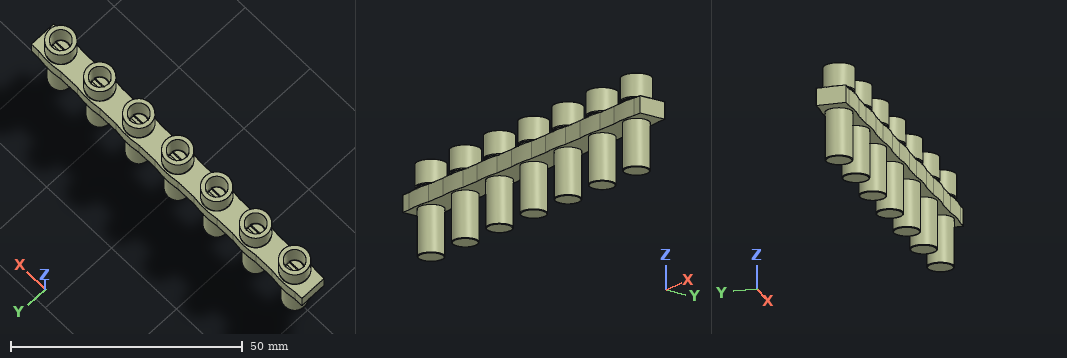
import cadquery as cq
import math

bar_length = 83.4
bar_width = 6.75
bar_thickness = 4.0
sleeve_count = 7
sleeve_pitch = 12.0

bulged_width = 7.3
bulge_chord = 7.0

total_height = 21.2
bar_bottom = 11.0
head_bottom = 15.7

stem_diameter = 6.0
head_diameter = 7.0
stem_chamfer = 0.2
head_chamfer = 0.2

mouth_diameter = 4.9
floor_diameter = 4.3
bore_depth = 5.0
bore_taper = math.degrees(math.atan((mouth_diameter - floor_diameter) / 2 / bore_depth))
bore_floor = total_height - bore_depth

screw_chamfer = 0.2
slot_width = 1.0
slot_depth = 0.8

first_sleeve_x = -sleeve_pitch * (sleeve_count - 1) / 2
sleeve_centers = [(first_sleeve_x + i * sleeve_pitch, 0) for i in range(sleeve_count)]


def cylinders(diameter, bottom, top):
    """One upright cylinder on every sleeve axis."""
    return (
        cq.Workplane("XY")
        .workplane(offset=bottom)
        .pushPoints(sleeve_centers)
        .circle(diameter / 2)
        .extrude(top - bottom)
    )


def bulged_bar():
    """Flat bar whose long sides bow outward beside each sleeve."""
    half_length = bar_length / 2
    half_width = bar_width / 2
    outline = cq.Workplane("XY").workplane(offset=bar_bottom).moveTo(-half_length, -half_width)
    for side in (-1, 1):
        for x, _ in sleeve_centers:
            center = -side * x
            start = center + side * bulge_chord / 2
            end = center - side * bulge_chord / 2
            outline = outline.lineTo(start, side * half_width)
            outline = outline.threePointArc((center, side * bulged_width / 2), (end, side * half_width))
        outline = outline.lineTo(-side * half_length, side * half_width)
        if side < 0:
            outline = outline.lineTo(half_length, half_width)
    return outline.close().extrude(bar_thickness)


def tapered_bores():
    """Conical bore in every head, widest at the mouth."""
    return (
        cq.Workplane("XY")
        .workplane(offset=total_height)
        .pushPoints(sleeve_centers)
        .circle(mouth_diameter / 2)
        .extrude(-bore_depth, taper=bore_taper)
    )


def screw_rims():
    """Ring-shaped groove left by the chamfer around every screw face."""
    recesses = cylinders(floor_diameter, bore_floor - slot_depth, bore_floor)
    screws = recesses.faces(">Z").edges().chamfer(screw_chamfer)
    return recesses.cut(screws)


def screw_slots():
    """Straight driver slots along X, ending at the rim of the screw."""
    slots = (
        cq.Workplane("XY")
        .workplane(offset=bore_floor - slot_depth)
        .pushPoints(sleeve_centers)
        .rect(floor_diameter, slot_width)
        .extrude(slot_depth)
    )
    return slots.intersect(cylinders(floor_diameter, bore_floor - slot_depth, bore_floor))


stems = cylinders(stem_diameter, 0, head_bottom).faces("<Z").edges().chamfer(stem_chamfer)
heads = cylinders(head_diameter, head_bottom, total_height).faces("<Z").edges().chamfer(head_chamfer)
bar_with_sleeves = bulged_bar().union(stems).union(heads)

result = bar_with_sleeves.cut(tapered_bores()).cut(screw_rims()).cut(screw_slots())